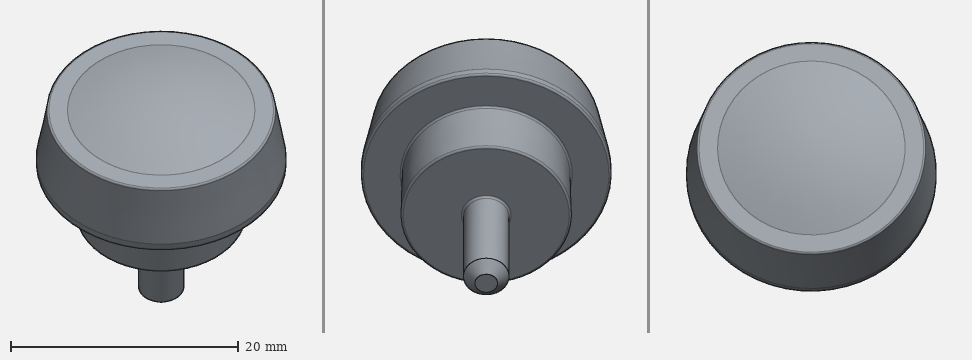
import cadquery as cq

total_height = 24.0
cap_top = 22.6
rim_top = 16.8
cap_bottom = 16.0
hub_bottom = 10.0

rim_radius = 22.0 / 2
cap_top_radius = 10.05
dome_radius = 8.25
hub_top_radius = 7.4
hub_bottom_radius = 7.5
pin_radius = 4.0 / 2

edge_fillet = 0.2
pin_chamfer = 1.0


def frustum(bottom_z, bottom_radius, top_z, top_radius):
    """Solid of revolution with a straight, possibly tapered side."""
    return (
        cq.Workplane("XZ")
        .moveTo(0, bottom_z)
        .lineTo(bottom_radius, bottom_z)
        .lineTo(top_radius, top_z)
        .lineTo(0, top_z)
        .close()
        .revolve(360, (0, 0), (0, 1))
    )


def make_cap():
    """Cylindrical rim under a tapered grip, rounded at both ends."""
    rim = frustum(cap_bottom, rim_radius, rim_top, rim_radius)
    grip = frustum(rim_top, rim_radius, cap_top, cap_top_radius)
    cap = rim.union(grip)
    return cap.faces("<Z or >Z").edges().fillet(edge_fillet)


def make_dome():
    """Shallow spherical crown on the flat top of the cap."""
    rise = total_height - cap_top
    sphere_radius = (dome_radius**2 + rise**2) / (2 * rise)
    sphere = cq.Workplane("XY").sphere(sphere_radius).translate((0, 0, total_height - sphere_radius))
    envelope = frustum(cap_top, rim_radius, total_height, rim_radius)
    return sphere.intersect(envelope)


def make_hub():
    """Slightly tapered hub, rounded at its lower edge."""
    hub = frustum(hub_bottom, hub_bottom_radius, cap_bottom, hub_top_radius)
    return hub.faces("<Z").edges().fillet(edge_fillet)


def make_pin():
    """Straight pin with a chamfered tip."""
    pin = frustum(0, pin_radius, hub_bottom, pin_radius)
    return pin.faces("<Z").chamfer(pin_chamfer)


def make_root_fillet(root_z, root_radius):
    """Concave ring filling the corner between a shaft and the face above it."""
    corner = (
        cq.Workplane("XZ")
        .moveTo(root_radius - edge_fillet, root_z)
        .lineTo(root_radius + edge_fillet, root_z)
        .radiusArc((root_radius, root_z - edge_fillet), -edge_fillet)
        .lineTo(root_radius - edge_fillet, root_z - edge_fillet)
        .close()
    )
    return corner.revolve(360, (0, 0), (0, 1))


result = (
    make_cap()
    .union(make_dome())
    .union(make_hub())
    .union(make_pin())
    .union(make_root_fillet(cap_bottom, hub_top_radius))
    .union(make_root_fillet(hub_bottom, pin_radius))
)